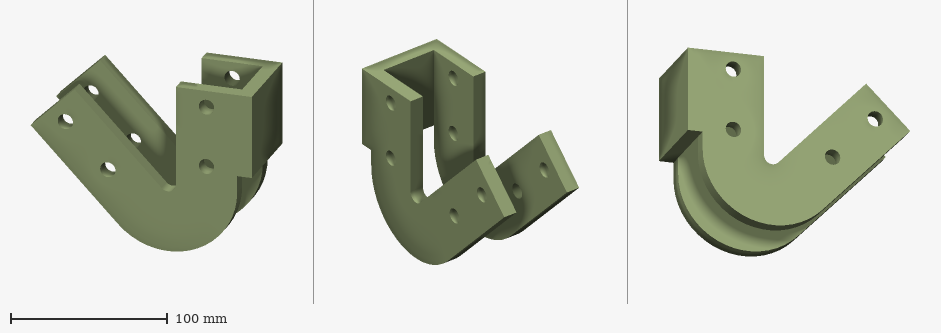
import cadquery as cq
import math

overall_width = 60.3
plate_thickness = 9.8
outer_radius = 46.9
leg_width = 41.3
upright_length = 67.5
inclined_length = 84.5
incline_angle = 45.7
back_height = 56.1

hole_diameter = 10.3
hole_spacing = 41.0
upright_hole_margin = 11.2
inclined_hole_margin = 12.4

inner_radius = outer_radius - leg_width
middle_radius = (outer_radius + inner_radius) / 2


def upright_point(radius, distance):
    """Point on the upright leg, at a distance along it from the bend."""
    return (radius, distance)


def inclined_point(radius, distance):
    """Point on the inclined leg, at a distance along it from the bend."""
    angle = math.radians(incline_angle)
    x = -radius * math.sin(angle) - distance * math.cos(angle)
    z = -radius * math.cos(angle) + distance * math.sin(angle)
    return (x, z)


def bend_midpoint(radius):
    """Middle of the bend arc, halfway between the two tangent points."""
    angle = math.radians((incline_angle + 90) / 2)
    return (radius * math.cos(angle), -radius * math.sin(angle))


def hole_centers():
    centers = []
    for step in range(2):
        offset = step * hole_spacing
        centers.append(upright_point(middle_radius, upright_length - upright_hole_margin - offset))
        centers.append(inclined_point(middle_radius, inclined_length - inclined_hole_margin - offset))
    return centers


def make_side_plate(front_y):
    """Bent two-leg plate with four holes, extending toward +Y from front_y."""
    plane = cq.Workplane("XZ", origin=(0, front_y, 0))
    plate = (
        plane.moveTo(*upright_point(outer_radius, upright_length))
        .lineTo(*upright_point(outer_radius, 0))
        .threePointArc(bend_midpoint(outer_radius), inclined_point(outer_radius, 0))
        .lineTo(*inclined_point(outer_radius, inclined_length))
        .lineTo(*inclined_point(inner_radius, inclined_length))
        .lineTo(*inclined_point(inner_radius, 0))
        .threePointArc(bend_midpoint(inner_radius), upright_point(inner_radius, 0))
        .lineTo(*upright_point(inner_radius, upright_length))
        .close()
        .extrude(-plate_thickness)
    )
    holes = plane.pushPoints(hole_centers()).circle(hole_diameter / 2).extrude(-plate_thickness)
    return plate.cut(holes)


def make_back_plate():
    """Plain plate across the outer edges of both upright legs."""
    return cq.Workplane("XY").box(
        plate_thickness, overall_width, back_height, centered=(False, True, False)
    ).translate((outer_radius, 0, upright_length - back_height))


side_plates = []
for front_y in (-overall_width / 2, overall_width / 2 - plate_thickness):
    side_plates.append(make_side_plate(front_y).val())

back_plate = make_back_plate()

result = cq.Compound.makeCompound([*side_plates, back_plate.val()])